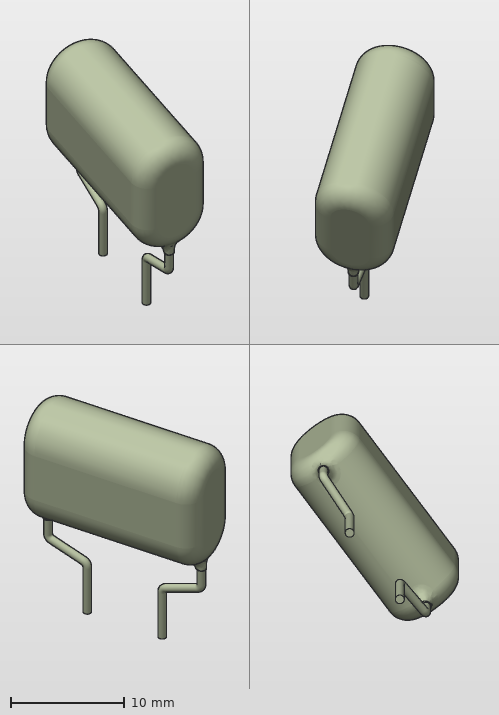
import cadquery as cq
import math

housing_length = 17.8
housing_depth = 7.1
housing_top = 22.0
housing_bottom = 10.0
end_round = housing_depth / 4
housing_height = housing_top - housing_bottom
housing_middle = (housing_top + housing_bottom) / 2

lead_diameter = 0.8
lead_upper_x = 7.7
lead_lower_x = 3.76
upper_bend_start = 7.25
slope_angle = 20.0
bend_radius = 0.6

collar_diameter = 0.92
collar_bottom = 9.05
collar_flare = 1.43
collar_root = housing_bottom + housing_depth / 4
collar_stock_bottom = collar_bottom - collar_flare

lead_top = housing_bottom


def wire_path():
    """Centreline of the +X lead, from its top down to its free end."""
    turn = math.radians(90 - slope_angle)
    slope = math.radians(slope_angle)
    bend_run = bend_radius * (1 - math.cos(turn))
    bend_drop = bend_radius * math.sin(turn)
    half_run = bend_radius * (1 - math.cos(turn / 2))
    half_drop = bend_radius * math.sin(turn / 2)

    slope_start_x = lead_upper_x - bend_run
    slope_start_z = upper_bend_start - bend_drop
    slope_end_x = lead_lower_x + bend_run
    slope_end_z = slope_start_z - (slope_start_x - slope_end_x) * math.tan(slope)
    lower_bend_end = slope_end_z - bend_drop

    return (
        cq.Workplane("XZ")
        .moveTo(lead_upper_x, lead_top)
        .lineTo(lead_upper_x, upper_bend_start)
        .threePointArc(
            (lead_upper_x - half_run, upper_bend_start - half_drop),
            (slope_start_x, slope_start_z),
        )
        .lineTo(slope_end_x, slope_end_z)
        .threePointArc(
            (lead_lower_x + half_run, lower_bend_end + half_drop),
            (lead_lower_x, lower_bend_end),
        )
        .lineTo(lead_lower_x, 0)
    )


def make_lead(side):
    """One bent wire; side is +1 for the +X lead and -1 for its mirror image."""
    lead = (
        cq.Workplane("XY", origin=(lead_upper_x, 0, lead_top))
        .circle(lead_diameter / 2)
        .sweep(wire_path())
    )
    return lead if side > 0 else lead.mirror("YZ")


def make_collar_stock(side):
    return (
        cq.Workplane("XY", origin=(side * lead_upper_x, 0, collar_stock_bottom))
        .circle(collar_diameter / 2)
        .extrude(collar_root - collar_stock_bottom)
    )


def make_housing(leads):
    housing = (
        cq.Workplane("YZ", origin=(0, 0, housing_middle))
        .slot2D(housing_height, housing_depth, 90)
        .extrude(housing_length / 2, both=True)
        .faces("<X or >X")
        .edges()
        .fillet(end_round)
    )
    for side in (-1, 1):
        housing = housing.union(make_collar_stock(side))

    reach = collar_diameter
    for side in (-1, 1):
        seam_box = cq.selectors.BoxSelector(
            (side * lead_upper_x - reach, -reach, collar_bottom),
            (side * lead_upper_x + reach, reach, collar_root),
            boundingbox=True,
        )
        housing = housing.edges(seam_box).fillet(collar_flare)

    trim = cq.Workplane("XY", origin=(0, 0, collar_bottom)).rect(
        housing_length, housing_depth
    ).extrude(-housing_height)
    housing = housing.cut(trim)

    for lead in leads:
        housing = housing.cut(lead)
    return housing


leads = [make_lead(side) for side in (-1, 1)]
housing = make_housing(leads)

result = cq.Compound.makeCompound([housing.val(), *[lead.val() for lead in leads]])